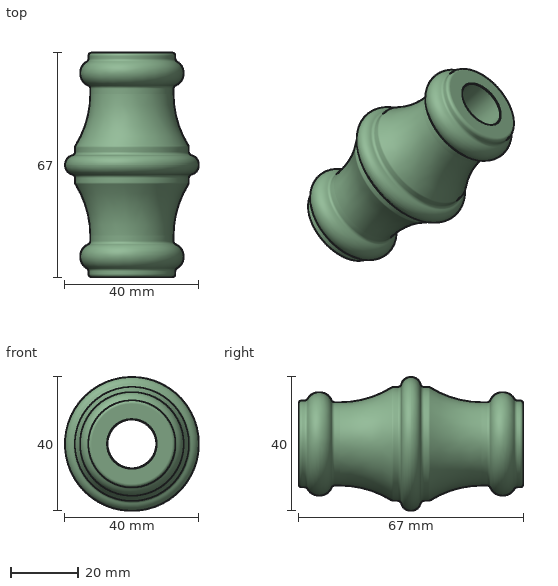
import cadquery as cq
import math

half_length = 33.5
collar_radius = 13.0
neck_radius = 12.45
shoulder_radius = 17.0
bore_radius = 7.25
bore_chamfer = 0.2
edge_fillet = 1.0

end_bead_place = 27.35
end_bead_outer_radius = 15.5
end_bead_round = 4
middle_bead_outer_radius = 20.0
middle_bead_round = 3.0

neck_start = 21.1
flare_corner = 5.5


def point_on_circle(center, radius, angle):
    return (center[0] + radius * math.cos(angle), center[1] + radius * math.sin(angle))


def cove_angle(bead_center, bead_round, cylinder_radius):
    """Angle at the bead centre towards the centre of the cove blending it into a cylinder."""
    radial_reach = cylinder_radius + edge_fillet - bead_center[0]
    return math.acos(radial_reach / (bead_round + edge_fillet))


def add_cove(profile, bead_center, bead_round, angle, leaves_bead):
    """Draw the concave blend between a bead and its cylinder, in the direction of travel."""
    cove_center = point_on_circle(bead_center, bead_round + edge_fillet, angle)
    cylinder_side = math.copysign(math.pi, angle)
    bead_side = angle + cylinder_side
    middle = (bead_side + cylinder_side) / 2
    on_cylinder = point_on_circle(cove_center, edge_fillet, cylinder_side)
    on_bead = point_on_circle(cove_center, edge_fillet, bead_side)
    cove_middle = point_on_circle(cove_center, edge_fillet, middle)
    if leaves_bead:
        return profile.threePointArc(cove_middle, on_cylinder)
    return profile.lineTo(*on_cylinder).threePointArc(cove_middle, on_bead)


end_bead = (end_bead_outer_radius - end_bead_round, end_bead_place)
middle_bead = (middle_bead_outer_radius - middle_bead_round, 0)
collar_angle = cove_angle(end_bead, end_bead_round, collar_radius)
neck_angle = -cove_angle(end_bead, end_bead_round, neck_radius)
shoulder_angle = cove_angle(middle_bead, middle_bead_round, shoulder_radius)

flare_rise = shoulder_radius - neck_radius
flare_run = neck_start - flare_corner
flare_arc_radius = (flare_rise**2 + flare_run**2) / (2 * flare_rise)
flare_center = (neck_radius + flare_arc_radius, neck_start)

lip_center_radius = shoulder_radius - edge_fillet
lip_reach = flare_arc_radius + edge_fillet
lip_angle = math.pi + math.acos((flare_center[0] - lip_center_radius) / lip_reach)
lip_center = point_on_circle(flare_center, lip_reach, lip_angle)
flare_end = point_on_circle(flare_center, flare_arc_radius, lip_angle)
flare_middle = point_on_circle(flare_center, flare_arc_radius, (math.pi + lip_angle) / 2)
lip_middle = point_on_circle(lip_center, edge_fillet, (lip_angle - math.pi) / 2)

rim_center = (collar_radius - edge_fillet, half_length - edge_fillet)
profile = (
    cq.Workplane("XY")
    .moveTo(bore_radius, 0)
    .lineTo(bore_radius, half_length - bore_chamfer)
    .lineTo(bore_radius + bore_chamfer, half_length)
    .lineTo(rim_center[0], half_length)
    .threePointArc(point_on_circle(rim_center, edge_fillet, math.pi / 4), (collar_radius, rim_center[1]))
)
profile = add_cove(profile, end_bead, end_bead_round, collar_angle, leaves_bead=False)
profile = profile.threePointArc(
    (end_bead_outer_radius, end_bead_place),
    point_on_circle(end_bead, end_bead_round, neck_angle),
)
profile = add_cove(profile, end_bead, end_bead_round, neck_angle, leaves_bead=True)
profile = (
    profile.lineTo(neck_radius, neck_start)
    .threePointArc(flare_middle, flare_end)
    .threePointArc(lip_middle, (shoulder_radius, lip_center[1]))
)
profile = add_cove(profile, middle_bead, middle_bead_round, shoulder_angle, leaves_bead=False)
profile = profile.threePointArc(
    point_on_circle(middle_bead, middle_bead_round, shoulder_angle / 2),
    (middle_bead_outer_radius, 0),
).close()

half_sleeve = profile.revolve(360, (0, 0, 0), (0, 1, 0))
result = half_sleeve.union(half_sleeve.mirror("XZ"), clean=False)